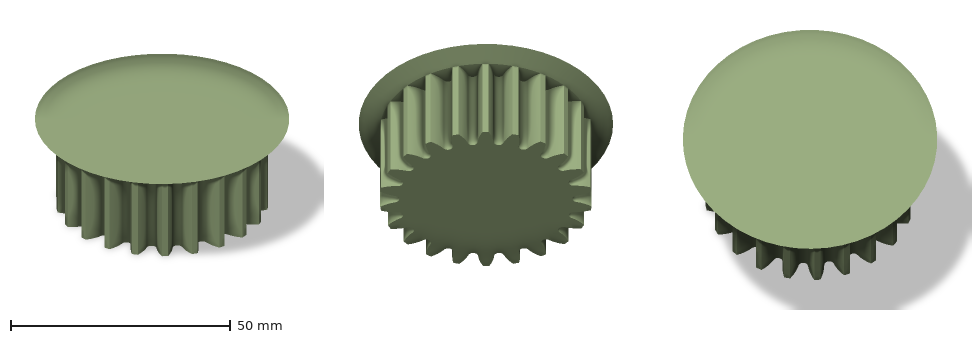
import cadquery as cq
import math

flange_diameter = 58.0
flange_height = 2.0
gear_height = 20.0
tip_diameter = 48.5

tooth_count = 22
land_width = 1.4
root_diameter = 39.45
root_arc_diameter = 2.25
flank_radius = 9.3

flange_radius = flange_diameter / 2
tip_radius = tip_diameter / 2
root_radius = root_diameter / 2
root_arc_radius = root_arc_diameter / 2
pitch_angle = 2 * math.pi / tooth_count
half_land_angle = math.asin(land_width / 2 / tip_radius)


def polar(radius, angle):
    return radius * math.cos(angle), radius * math.sin(angle)


def point_towards(start, end, distance):
    """Point at the given distance from start on the line to end."""
    share = distance / math.dist(start, end)
    return start[0] + share * (end[0] - start[0]), start[1] + share * (end[1] - start[1])


def gap_flank():
    """Middle point and inner end of the +Y flank of a tooth gap centred on +X.

    The flank bulges out of the tooth and runs smoothly into the round gap floor.
    """
    tip_corner = polar(tip_radius, pitch_angle / 2 - half_land_angle)
    root_centre = (root_radius + root_arc_radius, 0)
    span = math.dist(root_centre, tip_corner)
    reach = flank_radius + root_arc_radius
    swing = math.acos((span**2 + reach**2 - flank_radius**2) / (2 * span * reach))
    corner_angle = math.atan2(tip_corner[1], tip_corner[0] - root_centre[0])
    offset = polar(reach, corner_angle + swing)
    flank_centre = (root_centre[0] + offset[0], offset[1])

    inner_end = point_towards(root_centre, flank_centre, root_arc_radius)
    chord_middle = ((tip_corner[0] + inner_end[0]) / 2, (tip_corner[1] + inner_end[1]) / 2)
    middle = point_towards(flank_centre, chord_middle, flank_radius)
    return middle, inner_end


def gear_outline():
    flank_middle, flank_end = gap_flank()
    outline = cq.Workplane("XY").moveTo(*polar(tip_radius, -half_land_angle))
    for tooth in range(tooth_count):
        tooth_angle = tooth * pitch_angle
        gap_angle = tooth_angle + pitch_angle / 2

        def in_gap(point, side):
            """Turn a point of the standard gap into this one; side -1 mirrors it."""
            return polar(math.hypot(*point), gap_angle + side * math.atan2(point[1], point[0]))

        outline = (
            outline
            .threePointArc(
                polar(tip_radius, tooth_angle),
                polar(tip_radius, tooth_angle + half_land_angle),
            )
            .threePointArc(in_gap(flank_middle, -1), in_gap(flank_end, -1))
            .threePointArc(polar(root_radius, gap_angle), in_gap(flank_end, 1))
            .threePointArc(
                in_gap(flank_middle, 1),
                polar(tip_radius, tooth_angle + pitch_angle - half_land_angle),
            )
        )
    return outline.close()


gear = gear_outline().extrude(gear_height)

total_height = gear_height + flange_height
flange = (
    cq.Workplane("XZ")
    .polyline([
        (0, gear_height),
        (tip_radius, gear_height),
        (flange_radius, total_height),
        (0, total_height),
    ])
    .close()
    .revolve(360, (0, 0, 0), (0, 1, 0))
)

result = gear.union(flange)